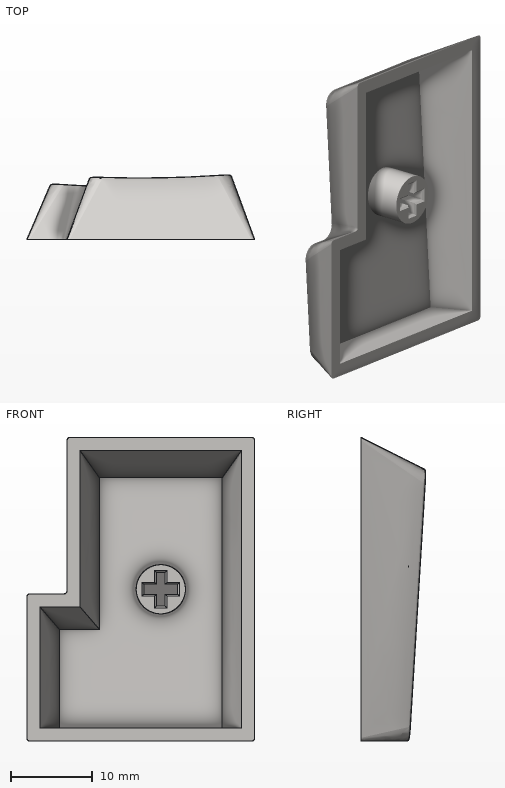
import cadquery as cq
import math

width = 27.8
height = 37.08
face_depth = 7.97

notch_width = 4.9
notch_base = 18.0
base_radius = 0.37

side_taper = 2.9
top_taper = 4.0
notch_taper = 3.25
face_radius = 1.75
face_tilt = 3.5
dish_sag = 0.45
edge_radius = 0.3

wall = 1.6
cavity_depth = 4.6
cavity_side_taper = 2.37
cavity_top_taper = 3.35
cavity_notch_taper = 2.75

stem_x = 2.45
stem_z = 18.55
stem_diameter = 6.0
stem_recess = 1.08
cross_length = 4.55
cross_bar_height = 1.67
cross_bar_width = 1.52
cross_chamfer = 0.22

tilt = math.radians(face_tilt)


def l_outline(plane, left, right, bottom, top, notch_x, notch_z, radius):
    """L-shaped wire on a plane, with all six corners rounded when a radius is given."""
    points = [(left, bottom), (right, bottom), (right, top),
              (notch_x, top), (notch_x, notch_z), (left, notch_z)]
    wire = cq.Workplane(plane).polyline(points).close().wires().val()
    if radius:
        wire = wire.fillet2D(radius, wire.Vertices())
    return wire


def tilted_plane(y, z):
    """Plane facing -Y through (0, y, z), leaning towards +Y as Z rises."""
    return cq.Plane(origin=(0, y, z), xDir=(1, 0, 0), normal=(0, -math.cos(tilt), math.sin(tilt)))


def ruled_solid(first, second):
    return cq.Workplane(obj=cq.Solid.makeLoft([first, second], True))


half = width / 2
rim_plane = cq.Plane(origin=(0, 0, 0), xDir=(1, 0, 0), normal=(0, -1, 0))

face_top = height - top_taper
face_plane = tilted_plane(face_depth, face_top)
slant = 1 / math.cos(tilt)
base_wire = l_outline(rim_plane, -half, half, 0, height, -half + notch_width, notch_base, base_radius)
face_wire = l_outline(
    face_plane, -half + side_taper, half - side_taper,
    -face_top * slant, 0,
    -half + notch_width + side_taper, (notch_base - notch_taper - face_top) * slant, face_radius)
body = ruled_solid(base_wire, face_wire)

half_chord = half - side_taper
dish_radius = (half_chord**2 + dish_sag**2) / (2 * dish_sag)
dish_length = 4 * height
dish_axis = cq.Vector(0, math.sin(tilt), math.cos(tilt))
dish_center = face_plane.toWorldCoords((0, 0, dish_sag - dish_radius))
dish = cq.Workplane(obj=cq.Solid.makeCylinder(
    dish_radius, dish_length, dish_center - dish_axis * (dish_length / 2), dish_axis))
body = body.cut(dish)

hollow_face = max(body.faces().vals(), key=lambda face: face.Center().y)
body = body.newObject(hollow_face.Edges()).fillet(edge_radius)

cavity_left = -half + wall
cavity_right = half - wall
cavity_top = height - wall
cavity_notch_x = cavity_left + notch_width
cavity_notch_z = notch_base - wall
ceiling_plane = tilted_plane(cavity_depth, wall)
mouth_wire = l_outline(
    rim_plane, cavity_left, cavity_right, wall, cavity_top, cavity_notch_x, cavity_notch_z, 0)
ceiling_wire = l_outline(
    ceiling_plane, cavity_left + cavity_side_taper, cavity_right - cavity_side_taper,
    0, (cavity_top - cavity_top_taper - wall) * slant,
    cavity_notch_x + cavity_side_taper,
    (cavity_notch_z - cavity_notch_taper - wall) * slant, 0)
body = body.cut(ruled_solid(mouth_wire, ceiling_wire))

ceiling_at_stem = cavity_depth + (stem_z - wall) * math.tan(tilt)
stem_length = ceiling_at_stem - stem_recess
stem_embed = 0.37
stem_plane = cq.Plane(origin=(stem_x, stem_recess, stem_z), xDir=(1, 0, 0), normal=(0, -1, 0))
stem = cq.Workplane(stem_plane).circle(stem_diameter / 2).extrude(-stem_length - stem_embed)


def socket_arm(size_x, size_z):
    """One bar of the cross socket, with a chamfered mouth."""
    mouth = cq.Workplane(stem_plane).rect(size_x, size_z).extrude(-cross_chamfer, taper=45)
    bore = cq.Workplane(stem_plane).rect(
        size_x - 2 * cross_chamfer, size_z - 2 * cross_chamfer).extrude(-stem_length)
    return mouth.union(bore)


socket = socket_arm(cross_length, cross_bar_height).union(socket_arm(cross_bar_width, cross_length))
result = body.union(stem).cut(socket)